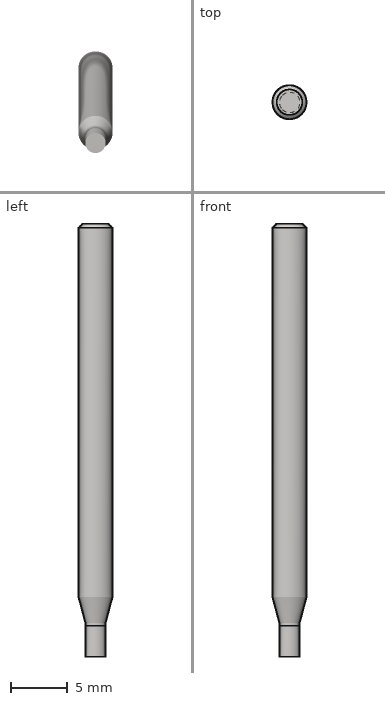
import cadquery as cq

total_length = 38.1
shank_diameter = 3.0
tip_diameter = 1.8

tip_length = 2.75
neck_length = 0.23
taper_length = 2.3

chamfer_width = 0.4
chamfer_height = 0.4

shank_radius = shank_diameter / 2
tip_radius = tip_diameter / 2
taper_bottom = tip_length + neck_length
taper_top = taper_bottom + taper_length


def make_tip():
    """Plain cylindrical cutting tip."""
    return cq.Workplane("XY").circle(tip_radius).extrude(tip_length)


def make_shank():
    """Revolved shank: short neck, taper, long cylinder and chamfered end."""
    half_profile = [
        (0, tip_length),
        (tip_radius, tip_length),
        (tip_radius, taper_bottom),
        (shank_radius, taper_top),
        (shank_radius, total_length - chamfer_height),
        (shank_radius - chamfer_width, total_length),
        (0, total_length),
    ]
    return (
        cq.Workplane("XZ")
        .polyline(half_profile)
        .close()
        .revolve(360, (0, 0), (0, 1))
    )


tip = make_tip()
shank = make_shank()

result = cq.Compound.makeCompound([tip.val(), shank.val()])